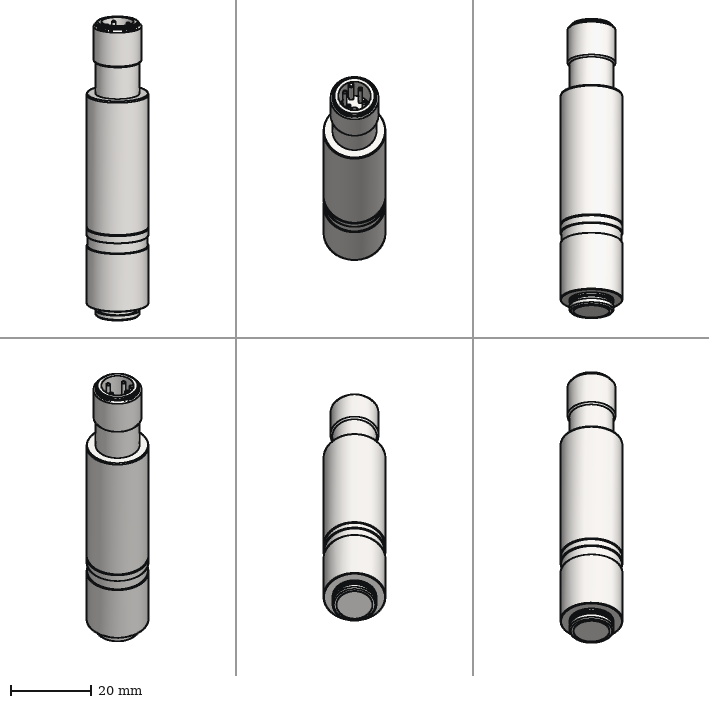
import cadquery as cq

total_height = 76.1
joint_z = 22.9

barrel_radius = 7.8
edge_chamfer = 0.19

housing_top_z = 57.6
housing_chamfer_height = 0.4
neck_diameter = 11.0
neck_radius = neck_diameter / 2
collar_radius = 6.0
collar_bottom_z = 65.75
collar_bottom_chamfer_height = 0.45
collar_top_chamfer_height = 0.6
collar_rim_z = 75.5
sleeve_rim_diameter = 10.0
sleeve_chamfer = 0.3
sleeve_radius = sleeve_rim_diameter / 2 + sleeve_chamfer
rim_gap_radius = 5.5
rim_gap_depth = 0.45

socket_radius = 4.0
socket_depth = 7.6
pin_radius = 0.495
pin_length = 7.15
pin_tip_chamfer = 0.34
pin_spacing = 3.95
socket_floor_z = total_height - socket_depth
center_hole_radius = 0.8
center_hole_depth = 1.5
key_width = 1.3
key_length = 1.8
key_tip_y = -3.0
key_chamfer = 0.2
key_top_recess = 0.75

band_top_z = 20.8
band_bottom_z = 18.3
band_radius = 7.5
shoulder_z = 3.1
foot_groove_top_z = 2.4
foot_groove_bottom_z = 1.5
foot_groove_radius = 4.8
foot_radius = neck_radius
foot_chamfer = 0.4
lip_radius = 4.5
lip_height = 0.15


def revolve_about_z(outline):
    """Turn a list of (radius, z) points, starting and ending on the axis, into a solid."""
    profile = cq.Workplane("XZ").polyline(outline).close()
    return profile.revolve(360, (0, 0), (0, 1))


def socket_floor():
    return cq.Workplane("XY").workplane(offset=socket_floor_z)


def make_shell():
    outline = [
        (0, joint_z),
        (barrel_radius - edge_chamfer, joint_z),
        (barrel_radius, joint_z + edge_chamfer),
        (barrel_radius, housing_top_z - housing_chamfer_height),
        (barrel_radius - edge_chamfer, housing_top_z),
        (neck_radius, housing_top_z),
        (neck_radius, collar_bottom_z),
        (collar_radius, collar_bottom_z + collar_bottom_chamfer_height),
        (collar_radius, collar_rim_z - collar_top_chamfer_height),
        (rim_gap_radius, collar_rim_z),
        (rim_gap_radius, collar_rim_z - rim_gap_depth),
        (sleeve_radius, collar_rim_z - rim_gap_depth),
        (sleeve_radius, total_height - sleeve_chamfer),
        (sleeve_radius - sleeve_chamfer, total_height),
        (0, total_height),
    ]
    return revolve_about_z(outline)


def make_key():
    """Upright rib with a rounded nose; its other end is buried in the sleeve wall."""
    key = (
        socket_floor()
        .center(0, key_tip_y - key_length / 2)
        .slot2D(key_length, key_width, 90)
        .extrude(socket_depth - key_top_recess)
    )
    return key.faces(">Z").chamfer(key_chamfer)


def make_pin(x, y):
    pin = socket_floor().center(x, y).circle(pin_radius).extrude(pin_length)
    return pin.faces(">Z").chamfer(pin_tip_chamfer)


def make_connector():
    """Shell with its socket, key and contact pins as one solid."""
    body = make_shell()
    body = body.cut(socket_floor().circle(socket_radius).extrude(socket_depth))
    body = body.cut(socket_floor().circle(center_hole_radius).extrude(-center_hole_depth))
    body = body.union(make_key())

    half_spacing = pin_spacing / 2
    for x in (-half_spacing, half_spacing):
        for y in (-half_spacing, half_spacing):
            body = body.union(make_pin(x, y))
    return body


def make_end_cap():
    outline = [
        (0, 0),
        (lip_radius, 0),
        (lip_radius, lip_height),
        (foot_radius - foot_chamfer, lip_height),
        (foot_radius, lip_height + foot_chamfer),
        (foot_radius, foot_groove_bottom_z),
        (foot_groove_radius, foot_groove_bottom_z),
        (foot_groove_radius, foot_groove_top_z),
        (foot_radius - edge_chamfer, foot_groove_top_z),
        (foot_radius, foot_groove_top_z + edge_chamfer),
        (foot_radius, shoulder_z),
        (barrel_radius - edge_chamfer, shoulder_z),
        (barrel_radius, shoulder_z + edge_chamfer),
        (barrel_radius, band_bottom_z - edge_chamfer),
        (band_radius, band_bottom_z),
        (band_radius, band_top_z),
        (barrel_radius, band_top_z + edge_chamfer),
        (barrel_radius, joint_z - edge_chamfer),
        (barrel_radius - edge_chamfer, joint_z),
        (0, joint_z),
    ]
    return revolve_about_z(outline)


connector = make_connector()
end_cap = make_end_cap()
result = cq.Compound.makeCompound([connector.val(), end_cap.val()])